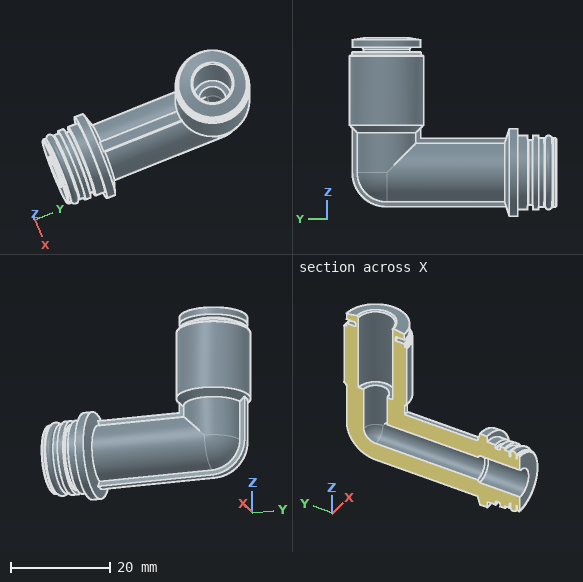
import cadquery as cq


overall_length = 41.8
overall_height = 36.05
flange_radius = 17.7 / 2

pipe_radius = 6.0
bore_radius = 5.5 / 2
rib_radius = 6.95
rib_thickness = 2.1

socket_radius = 15.0 / 2
socket_cone_bottom = 8.03
socket_cone_top = 9.57
socket_top = 23.65
socket_chamfer = 0.15
rim_radius = 14.0 / 2
rim_top = 24.35
rim_chamfer = 0.15

neck_radius = 9.4 / 2
neck_flare_start = 24.85
neck_flare = 0.2
cap_radius = 13.8 / 2
cap_bottom = 25.25
cap_edge_top = 26.75
cap_top = overall_height - flange_radius
cap_flat_radius = 4.3
tube_hole_radius = 8.0 / 2
tube_hole_chamfer = cap_flat_radius - tube_hole_radius
tube_hole_bottom = socket_cone_top

flange_cone_start = 23.83
flange_start = 24.75
flange_end = 26.5
collar_radius = 14.95 / 2
collar_end = 28.45
clip_groove_radius = 13.15 / 2
clip_groove_wall_radius = 6.75
clip_groove_end = 29.5
groove_slope = 0.15
land_end = 30.7
tip_radius = 14.0 / 2
tip_step_end = 31.75
seal_groove_radius = 11.6 / 2
seal_groove_wall_radius = 6.0
seal_groove_end = 33.6
seal_tube_radius = 0.7
seal_seat_depth = 0.1
seal_centre = (tip_step_end + seal_groove_end) / 2
plug_end = overall_length - socket_radius
tip_chamfer = 0.25
mouth_radius = 6.5 / 2
mouth_bottom = flange_start
mouth_cone_length = mouth_radius - bore_radius


def revolve_about_z(profile):
    """Revolve (radius, height) points, given from bottom to top, about Z."""
    bottom = (0, profile[0][1])
    top = (0, profile[-1][1])
    outline = [bottom] + profile + [top]
    return cq.Workplane("XZ").polyline(outline).close().revolve(360, (0, 0), (0, 1))


def lay_along_minus_y(solid):
    return solid.rotate((0, 0, 0), (1, 0, 0), 90)


def make_pipe():
    vertical = cq.Workplane("XY").circle(pipe_radius).extrude(socket_cone_top)
    horizontal = lay_along_minus_y(cq.Workplane("XY").circle(pipe_radius).extrude(flange_start))
    return vertical.union(horizontal).union(cq.Workplane("XY").sphere(pipe_radius))


def make_rib():
    """Central web standing proud of the pipe, rounded around the outside of the elbow."""
    corner = rib_radius / 2**0.5
    return (
        cq.Workplane("YZ")
        .moveTo(rib_radius, socket_cone_top)
        .lineTo(rib_radius, 0)
        .threePointArc((corner, -corner), (0, -rib_radius))
        .lineTo(-flange_start, -rib_radius)
        .lineTo(-flange_start, rib_radius)
        .lineTo(-rib_radius, rib_radius)
        .lineTo(-rib_radius, socket_cone_top)
        .close()
        .extrude(rib_thickness / 2, both=True)
    )


def make_socket():
    return revolve_about_z([
        (pipe_radius, socket_cone_bottom),
        (socket_radius, socket_cone_top),
        (socket_radius, socket_top - socket_chamfer),
        (socket_radius - socket_chamfer, socket_top),
        (rim_radius, socket_top),
        (rim_radius, rim_top - rim_chamfer),
        (rim_radius - rim_chamfer, rim_top),
        (neck_radius, rim_top),
        (neck_radius, neck_flare_start),
        (neck_radius + neck_flare, cap_bottom),
        (cap_radius, cap_bottom),
        (cap_radius, cap_edge_top),
        (cap_flat_radius, cap_top),
    ])


def make_plug():
    """Flanged plug with a clip groove and a rounded seal seated on the floor of its groove."""
    body = revolve_about_z([
        (pipe_radius, flange_cone_start),
        (flange_radius, flange_start),
        (flange_radius, flange_end),
        (collar_radius, flange_end),
        (collar_radius, collar_end),
        (clip_groove_wall_radius, collar_end),
        (clip_groove_radius, collar_end + groove_slope),
        (clip_groove_radius, clip_groove_end - groove_slope),
        (clip_groove_wall_radius, clip_groove_end),
        (collar_radius, clip_groove_end),
        (collar_radius, land_end),
        (tip_radius, land_end),
        (tip_radius, tip_step_end),
        (seal_groove_wall_radius, tip_step_end),
        (seal_groove_radius, tip_step_end + groove_slope),
        (seal_groove_radius, seal_groove_end - groove_slope),
        (seal_groove_wall_radius, seal_groove_end),
        (tip_radius, seal_groove_end),
        (tip_radius, plug_end - tip_chamfer),
        (tip_radius - tip_chamfer, plug_end),
    ])
    seal_shoulder = collar_radius - seal_tube_radius
    seal = (
        cq.Workplane("XZ")
        .moveTo(seal_groove_radius - seal_seat_depth, seal_centre - seal_tube_radius)
        .lineTo(seal_shoulder, seal_centre - seal_tube_radius)
        .threePointArc((collar_radius, seal_centre), (seal_shoulder, seal_centre + seal_tube_radius))
        .lineTo(seal_groove_radius - seal_seat_depth, seal_centre + seal_tube_radius)
        .close()
        .revolve(360, (0, 0), (0, 1))
    )
    return lay_along_minus_y(body.union(seal))


def make_passage():
    """Through passage: tube hole above, rounded elbow, and a wider mouth in the plug ending in a cone."""
    vertical = revolve_about_z([
        (bore_radius, 0),
        (bore_radius, tube_hole_bottom),
        (tube_hole_radius, tube_hole_bottom),
        (tube_hole_radius, cap_top - tube_hole_chamfer),
        (cap_flat_radius, cap_top),
    ])
    horizontal = lay_along_minus_y(revolve_about_z([
        (bore_radius, 0),
        (bore_radius, mouth_bottom - mouth_cone_length),
        (mouth_radius, mouth_bottom),
        (mouth_radius, plug_end),
    ]))
    return vertical.union(horizontal).union(cq.Workplane("XY").sphere(bore_radius))


result = (
    make_pipe()
    .union(make_rib())
    .union(make_socket())
    .union(make_plug())
    .cut(make_passage())
)